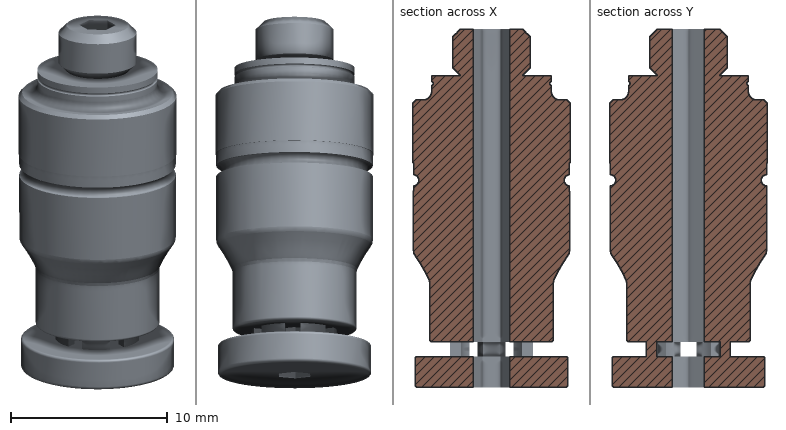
import cadquery as cq
import math

total_height = 22.9
base_height = 2.0
body_bottom = 2.9
flare_bottom = 6.78
flare_top = 8.59
sleeve_bottom = 14.34
sleeve_top = 18.4
neck_top = 19.92

base_radius = 9.8 / 2
stem_radius = 7.92 / 2
body_radius = 10.0 / 2
sleeve_radius = 10.1 / 2
neck_radius = 7.7 / 2
screw_radius = 5.0 / 2

base_bottom_fillet = 0.2
base_top_fillet = 0.15
stem_fillet = 0.15
sleeve_chamfer = 0.23
screw_chamfer = 0.5
neck_fillet = 0.5
flare_fillet = 0.5
flare_curve_radius = 9.15
corner_tolerance = 0.02

body_groove_radius = 0.35
body_groove_height = 13.24
neck_groove_radius = 0.103
neck_groove_height = 19.42

ring_outer_radius = 5.4 / 2
ring_inner_radius = 4.0 / 2
slot_width = 1.0
slot_count = 6

hex_across_flats = 2.02


def cylinder(radius, bottom, top):
    return cq.Workplane("XY").workplane(offset=bottom).circle(radius).extrude(top - bottom)


def make_base():
    disc = cylinder(base_radius, 0, base_height)
    disc = disc.faces("<Z").edges().fillet(base_bottom_fillet)
    return disc.faces(">Z").edges().fillet(base_top_fillet)


def make_leg_ring():
    """Ring cut into legs by radial slots, one of them pointing along -Y."""
    ring = cylinder(ring_outer_radius, base_height, body_bottom)
    ring = ring.cut(cylinder(ring_inner_radius, base_height, body_bottom))
    slot = (
        cq.Workplane("XY")
        .workplane(offset=base_height)
        .center(ring_outer_radius, 0)
        .rect(2 * ring_outer_radius, slot_width)
        .extrude(body_bottom - base_height)
    )
    for index in range(slot_count):
        angle = -90 + index * 360 / slot_count
        ring = ring.cut(slot.rotate((0, 0, 0), (0, 0, 1), angle))
    return ring


def make_body():
    """Stem, hollow-curved flare, body, sleeve and neck turned in one piece."""
    profile = (
        cq.Workplane("XZ")
        .moveTo(0, body_bottom)
        .lineTo(stem_radius - stem_fillet, body_bottom)
        .radiusArc((stem_radius, body_bottom + stem_fillet), -stem_fillet)
        .lineTo(stem_radius, flare_bottom)
        .radiusArc((body_radius, flare_top), flare_curve_radius)
        .lineTo(body_radius, sleeve_bottom)
        .lineTo(sleeve_radius, sleeve_bottom)
        .lineTo(sleeve_radius, sleeve_top - sleeve_chamfer)
        .lineTo(sleeve_radius - sleeve_chamfer, sleeve_top)
        .lineTo(neck_radius + neck_fillet, sleeve_top)
        .radiusArc((neck_radius, sleeve_top + neck_fillet), neck_fillet)
        .lineTo(neck_radius, neck_top)
        .lineTo(0, neck_top)
        .close()
    )
    body = profile.revolve(360, (0, 0, 0), (0, 1, 0))
    for radius, height in ((stem_radius, flare_bottom), (body_radius, flare_top)):
        corner = cq.selectors.BoxSelector(
            (-radius, -radius, height - corner_tolerance),
            (radius, radius, height + corner_tolerance),
        )
        body = body.edges("%CIRCLE").edges(corner).fillet(flare_fillet)
    return body


def make_groove(surface_radius, height, groove_radius):
    section = cq.Workplane("XZ").center(surface_radius, height).circle(groove_radius)
    return section.revolve(360, (-surface_radius, 0, 0), (-surface_radius, 1, 0))


def make_screw_head():
    head = cylinder(screw_radius, neck_top, total_height)
    return head.faces("<Z or >Z").chamfer(screw_chamfer)


def make_hex_hole():
    """Hexagon with its corners on the Y axis, running through the whole part."""
    across_corners = hex_across_flats / math.cos(math.radians(30))
    hexagon = cq.Workplane("XY").polygon(6, across_corners).extrude(total_height)
    return hexagon.rotate((0, 0, 0), (0, 0, 1), 30)


result = (
    make_body()
    .cut(make_groove(body_radius, body_groove_height, body_groove_radius))
    .cut(make_groove(neck_radius, neck_groove_height, neck_groove_radius))
    .union(make_leg_ring())
    .union(make_base())
    .union(make_screw_head())
    .cut(make_hex_hole())
)